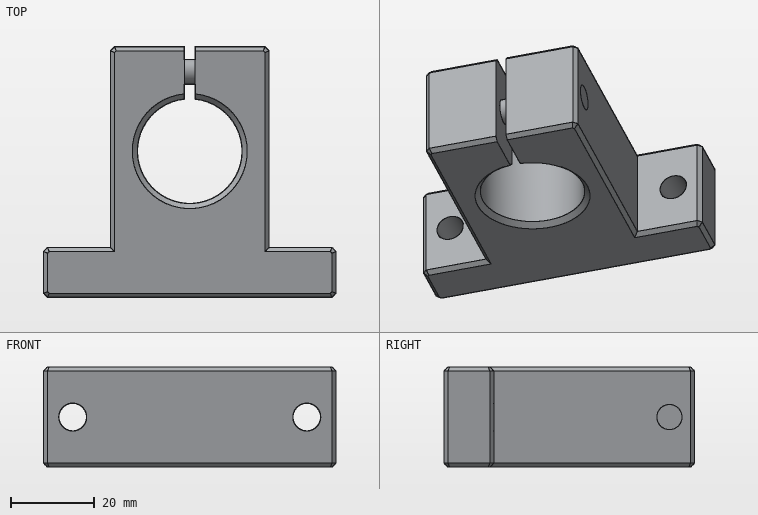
import cadquery as cq

base_length = 70.0
base_thickness = 12.0
block_width = 38.0
depth = 60.0
height = 24.0
edge_chamfer = 1.0

bore_diameter = 25.0
bore_chamfer = 1.25
bore_y = 35.0
slot_width = 2.5

mount_hole_diameter = 6.6
mount_hole_spacing = 56.0

screw_diameter = 6.0
screw_y = 54.0

mid_height = height / 2


def make_blank():
    """T-shaped plate with chamfered outer corners and face edges."""
    base = cq.Workplane("XY").box(base_length, base_thickness, height, centered=(True, False, False))
    block = cq.Workplane("XY").box(block_width, depth, height, centered=(True, False, False))
    blank = base.union(block)
    inner_corners = cq.selectors.BoxSelector(
        (-block_width / 2 - edge_chamfer, base_thickness - edge_chamfer, 0),
        (block_width / 2 + edge_chamfer, base_thickness + edge_chamfer, height),
    )
    upright_edges = cq.selectors.ParallelDirSelector(cq.Vector(0, 0, 1))
    outer_corners = cq.selectors.SubtractSelector(upright_edges, inner_corners)
    return (
        blank.edges(outer_corners).chamfer(edge_chamfer)
        .faces("<Z or >Z").edges().chamfer(edge_chamfer)
    )


def cut_bore(body):
    """Through bore with a chamfer at each end."""
    bored = body.cut(cq.Workplane("XY").center(0, bore_y).circle(bore_diameter / 2).extrude(height))
    return bored.faces("<Z or >Z").edges("%CIRCLE").chamfer(bore_chamfer)


def cut_slot(body):
    """Slot from the bore out to the far end of the block."""
    slot = (
        cq.Workplane("XY", origin=(0, bore_y, 0))
        .box(slot_width, depth - bore_y, height, centered=(True, False, False))
    )
    return body.cut(slot)


def cut_mount_holes(body):
    """Plain holes through the base, one at each end."""
    for side in (-1, 1):
        hole = (
            cq.Workplane("XZ", origin=(side * mount_hole_spacing / 2, 0, mid_height))
            .circle(mount_hole_diameter / 2)
            .extrude(-base_thickness)
        )
        body = body.cut(hole)
    return body


def make_screw():
    """Clamp screw as a plain cylinder along X, as long as the block is wide."""
    return (
        cq.Workplane("YZ", origin=(-block_width / 2, screw_y, mid_height))
        .circle(screw_diameter / 2)
        .extrude(block_width)
    )


screw = make_screw()
housing = cut_mount_holes(cut_slot(cut_bore(make_blank()))).cut(screw)

result = cq.Compound.makeCompound([housing.solids().val(), screw.val()])